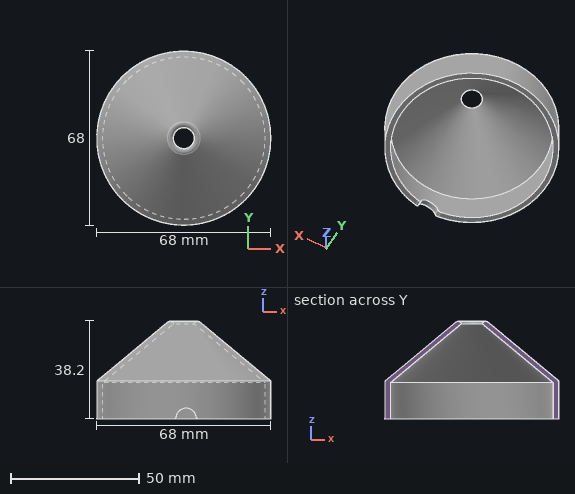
import cadquery as cq
import math

outer_diameter = 68.0
inner_diameter = 63.4
height = 38.19

cone_angle = math.radians(39.7)
roof_thickness = 2.0

rim_center_x = 5.44
rim_radius = 1.44

notch_radius = 3.9
notch_height = 4.3
notch_offset = 0.9
notch_flare_radius = 1.3

outer_radius = outer_diameter / 2
inner_radius = inner_diameter / 2


def make_shell():
    """Revolve the hollow cylinder-and-cone section about Z."""
    slope = math.tan(cone_angle)
    slope_sin = math.sin(cone_angle)
    slope_cos = math.cos(cone_angle)

    rim_center_z = height - rim_radius
    rim_outer_x = rim_center_x + rim_radius * slope_sin
    rim_outer_z = rim_center_z + rim_radius * slope_cos
    skirt_height = rim_outer_z - (outer_radius - rim_outer_x) * slope

    skirt_wall = outer_radius - inner_radius
    inner_skirt_height = skirt_height + skirt_wall * slope - roof_thickness / slope_cos

    inner_cone_depth = roof_thickness - rim_radius
    half_chord = math.sqrt(rim_radius**2 - inner_cone_depth**2)
    bore_x = rim_center_x - inner_cone_depth * slope_sin - half_chord * slope_cos
    bore_z = rim_center_z - inner_cone_depth * slope_cos + half_chord * slope_sin

    section = (
        cq.Workplane("XZ")
        .moveTo(inner_radius, 0)
        .lineTo(outer_radius, 0)
        .lineTo(outer_radius, skirt_height)
        .lineTo(rim_outer_x, rim_outer_z)
        .threePointArc((rim_center_x, height), (bore_x, bore_z))
        .lineTo(inner_radius, inner_skirt_height)
        .close()
    )
    return section.revolve(360, (0, 0, 0), (0, 1, 0))


def make_notch_cutter():
    """Round-topped notch whose sides flare out tangentially at the lower edge."""
    arch_center_z = notch_height - notch_radius
    center_distance = notch_radius + notch_flare_radius
    flare_rise = notch_flare_radius - arch_center_z
    flare_center_x = math.sqrt(center_distance**2 - flare_rise**2)
    touch_ratio = notch_radius / center_distance
    touch_x = flare_center_x * touch_ratio
    touch_z = arch_center_z + flare_rise * touch_ratio
    touch_angle = math.atan2(touch_z - notch_flare_radius, touch_x - flare_center_x)
    lowest_angle = -math.pi / 2
    full_turn = 2 * math.pi
    middle_angle = (touch_angle % full_turn + lowest_angle % full_turn) / 2
    middle_x = flare_center_x + notch_flare_radius * math.cos(middle_angle)
    middle_z = notch_flare_radius + notch_flare_radius * math.sin(middle_angle)

    profile = (
        cq.Workplane("XZ")
        .center(notch_offset, 0)
        .moveTo(-flare_center_x, 0)
        .threePointArc((-middle_x, middle_z), (-touch_x, touch_z))
        .threePointArc((0, notch_height), (touch_x, touch_z))
        .threePointArc((middle_x, middle_z), (flare_center_x, 0))
        .close()
    )
    return profile.extrude(outer_diameter)


result = make_shell().cut(make_notch_cutter())